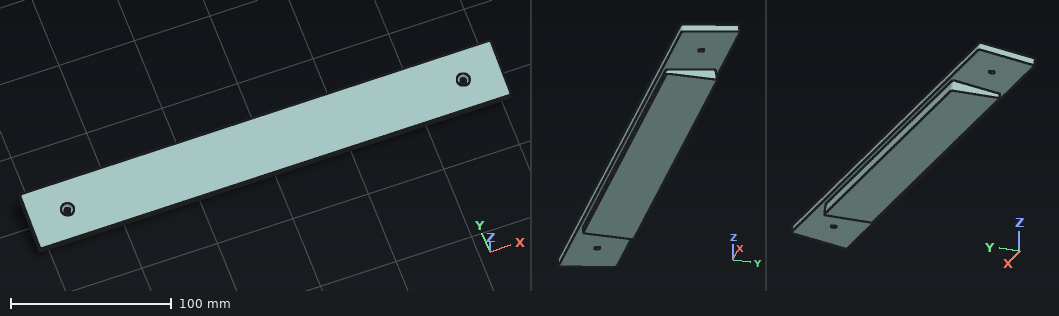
import cadquery as cq
import math

LENGTH = 312.0
WIDTH = 38.0
THICKNESS = 5.0
TILT = 7.5
CORNER_RADIUS = 1.5

FOOT_LENGTH = 211.5
FOOT_INSET = 2.8
FOOT_WIDTH = WIDTH - 2 * FOOT_INSET

HOLE_SPACING = 262.0
HOLE_DIAMETER = 3.5
SINK_DIAMETER = 8.0
SINK_ANGLE = 90.0

TOTAL_HEIGHT = 12.5
BASE_Z = WIDTH / 2 * math.sin(math.radians(TILT)) - TOTAL_HEIGHT


def tilt(body):
    """Rotate a body about the X axis through the middle of the plate's top face."""
    return body.rotate((0, 0, 0), (1, 0, 0), TILT)


def rounded_block(length, width, depth, top):
    """Block with rounded corners, extending downwards from the height top."""
    block = cq.Workplane("XY").workplane(offset=top).rect(length, width).extrude(-depth)
    return block.edges("|Z").fillet(CORNER_RADIUS)


def make_plate():
    plate = rounded_block(LENGTH, WIDTH, THICKNESS, 0)
    return (
        plate.faces(">Z").workplane()
        .rarray(HOLE_SPACING, 3, 2, 1)
        .cskHole(HOLE_DIAMETER, SINK_DIAMETER, SINK_ANGLE)
    )


def make_foot():
    """Block square to the plate, trimmed by the horizontal base plane."""
    foot = tilt(rounded_block(FOOT_LENGTH, FOOT_WIDTH, TOTAL_HEIGHT, -THICKNESS))
    below_base = (
        cq.Workplane("XY").workplane(offset=BASE_Z)
        .rect(LENGTH, 2 * WIDTH).extrude(-2 * TOTAL_HEIGHT)
    )
    return foot.cut(below_base)


result = tilt(make_plate()).union(make_foot())